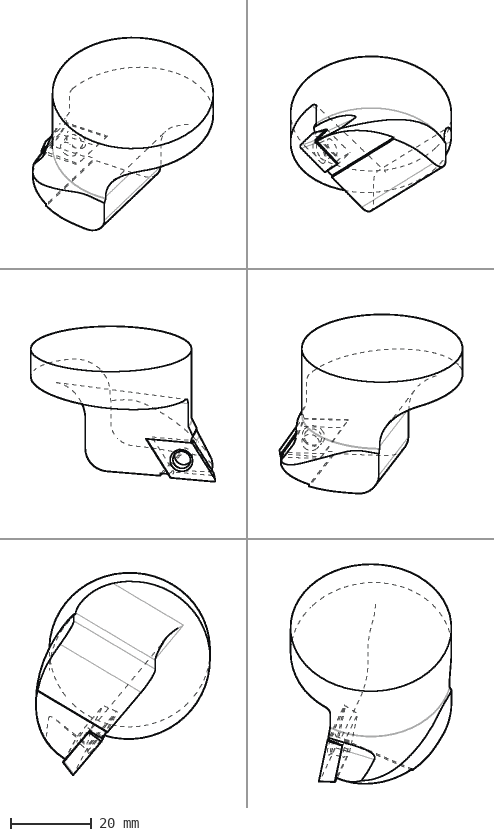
import cadquery as cq
import math

SHANK_RADIUS = 20.0
BODY_DEPTH = 32.3
MARGIN = 14.05

FLANGE_EDGE_DEPTH = 7.1
FLANGE_SLOPE = math.tan(math.radians(5.5))

WALL_X = 5.55
WALL_TOP_RADIUS = 9.85
WALL_BOTTOM_RADIUS = 5.7
BOTTOM_Z = -30.8
BOTTOM_SLOPE = 0.045

HEAD_TOP_Z = -18.08
NECK_BLEND_DEPTH = 0.25
NECK_BLEND_GROWTH = 0.05
HEAD_FLARE = 0.46
HEAD_WALL_POINTS = [
    (9.35, -18.4),
    (5.55, -19.75),
    (0.0, -20.35),
    (-6.65, -20.35),
    (-12.05, -19.2),
    (-16.85, -16.95),
    (-22.0, -12.05),
    (-24.02, -7.75),
    (-24.65, -3.75),
    (-24.65, 0.0),
]

RAKE_ANGLE = 7.6
INSERT_TIP = (-27.2, 0.0, -32.35)
INSERT_EDGE = 11.6
INSERT_POINT_ANGLE = 55.0
INSERT_TILT = 3.0
INSERT_THICKNESS = 3.9
INSERT_CLEARANCE = 7.0
INSERT_NOSE_RADIUS = 0.4
INSERT_HOLE_DIAMETER = 4.4
INSERT_SINK_DIAMETER = 5.6
INSERT_PROUD = 0.35

FACE_FILLET = 1.4

GROOVE_RADIUS = 2.9
GROOVE_FROM_TIP = (3.65, 9.8)
GROOVE_LENGTH = 28.1

STEP_Z = -30.85
STEP_END_X = -13.0

rake_direction = cq.Vector(math.cos(math.radians(RAKE_ANGLE)), math.sin(math.radians(RAKE_ANGLE)), 0)
into_body = cq.Vector(rake_direction.y, -rake_direction.x, 0)
insert_plane = cq.Plane(origin=INSERT_TIP, xDir=rake_direction.toTuple(), normal=into_body.toTuple())


def underside_z(x):
    return -FLANGE_EDGE_DEPTH - (SHANK_RADIUS - x) * FLANGE_SLOPE


def bottom_z(x):
    return BOTTOM_Z + BOTTOM_SLOPE * x


def make_shank_and_head():
    deep = -BODY_DEPTH - MARGIN
    shank = cq.Workplane("XY").circle(SHANK_RADIUS).extrude(HEAD_TOP_Z)
    blend_z = HEAD_TOP_Z - NECK_BLEND_DEPTH
    blend_radius = SHANK_RADIUS + NECK_BLEND_GROWTH
    cone = (
        cq.Workplane("XZ")
        .moveTo(0, HEAD_TOP_Z)
        .lineTo(SHANK_RADIUS, HEAD_TOP_Z)
        .lineTo(blend_radius, blend_z)
        .lineTo(blend_radius + HEAD_FLARE * (blend_z - deep), deep)
        .lineTo(0, deep)
        .close()
        .revolve(360, (0, 0), (0, 1))
    )
    outer_wall = (
        cq.Workplane("XY")
        .workplane(offset=HEAD_TOP_Z)
        .spline(HEAD_WALL_POINTS)
        .lineTo(HEAD_WALL_POINTS[-1][0], SHANK_RADIUS)
        .lineTo(HEAD_WALL_POINTS[0][0], SHANK_RADIUS)
        .close()
        .extrude(deep - HEAD_TOP_Z)
    )
    return shank.union(cone.intersect(outer_wall))


def make_side_envelope():
    """Side outline: flange, rounded step to the lower wall, rounded sloping bottom."""
    reach = SHANK_RADIUS + MARGIN
    inner_corner = (WALL_X, underside_z(WALL_X))
    outer_corner = (WALL_X, bottom_z(WALL_X))
    outline = [
        (-reach, 0),
        (reach, 0),
        (reach, underside_z(reach)),
        inner_corner,
        outer_corner,
        (-reach, bottom_z(-reach)),
    ]
    envelope = cq.Workplane("XZ").polyline(outline).close().extrude(reach, both=True)
    for corner, radius in ((inner_corner, WALL_TOP_RADIUS), (outer_corner, WALL_BOTTOM_RADIUS)):
        point = (corner[0], 0, corner[1])
        envelope = envelope.edges(cq.selectors.NearestToPointSelector(point)).fillet(radius)
    return envelope


def make_face_cut():
    """Space in front of the +Y face, below the flange."""
    reach = SHANK_RADIUS + MARGIN
    below_flange = (
        cq.Workplane("XZ")
        .polyline(
            [
                (-reach, underside_z(-reach)),
                (reach, underside_z(reach)),
                (reach, -BODY_DEPTH - MARGIN),
                (-reach, -BODY_DEPTH - MARGIN),
            ]
        )
        .close()
        .extrude(reach, both=True)
    )
    face_plane = cq.Plane(
        origin=(cq.Vector(*INSERT_TIP) + into_body * INSERT_PROUD).toTuple(),
        xDir=rake_direction.toTuple(),
        normal=into_body.toTuple(),
    )
    behind_face = cq.Workplane(face_plane).rect(4 * reach, 4 * reach).extrude(4 * reach)
    cut = below_flange.cut(behind_face)
    middle = (0, face_plane.toWorldCoords((-INSERT_TIP[0], 0, 0)).y, underside_z(0))
    return cut.edges(cq.selectors.NearestToPointSelector(middle)).fillet(FACE_FILLET)


def make_insert_blank():
    low = math.radians(INSERT_TILT)
    steep = math.radians(INSERT_TILT + INSERT_POINT_ANGLE)
    lower = (INSERT_EDGE * math.cos(low), INSERT_EDGE * math.sin(low))
    upper = (INSERT_EDGE * math.cos(steep), INSERT_EDGE * math.sin(steep))
    far = (lower[0] + upper[0], lower[1] + upper[1])
    blank = (
        cq.Workplane(insert_plane)
        .polyline([(0, 0), lower, far, upper])
        .close()
        .extrude(INSERT_THICKNESS, taper=INSERT_CLEARANCE)
    )
    centre = (far[0] / 2, far[1] / 2)
    tip_edge = cq.selectors.NearestToPointSelector(
        (cq.Vector(*INSERT_TIP) + into_body * (INSERT_THICKNESS / 2)).toTuple()
    )
    return blank.edges(tip_edge).fillet(INSERT_NOSE_RADIUS), centre


def make_insert(blank, centre):
    hole = (
        cq.Workplane(insert_plane).center(*centre).circle(INSERT_HOLE_DIAMETER / 2).extrude(INSERT_THICKNESS)
    )
    sink_depth = (INSERT_SINK_DIAMETER - INSERT_HOLE_DIAMETER) / 2
    sink = (
        cq.Workplane(insert_plane)
        .center(*centre)
        .circle(INSERT_SINK_DIAMETER / 2)
        .extrude(sink_depth, taper=45)
    )
    return blank.cut(hole).cut(sink)


def make_clearance_groove():
    """Flat wall parallel to the steep insert edge, ending in a round groove."""
    steep = math.radians(INSERT_TILT + INSERT_POINT_ANGLE)
    x, y = GROOVE_FROM_TIP
    tangent = (x + GROOVE_RADIUS * math.sin(steep), y - GROOVE_RADIUS * math.cos(steep))
    foot = (tangent[0] - 2 * MARGIN * math.cos(steep), tangent[1] - 2 * MARGIN * math.sin(steep))
    arc_middle = (x + GROOVE_RADIUS * math.cos(steep), y + GROOVE_RADIUS * math.sin(steep))
    arc_end = (x - GROOVE_RADIUS * math.sin(steep), y + GROOVE_RADIUS * math.cos(steep))
    profile = (
        cq.Workplane(insert_plane)
        .moveTo(*tangent)
        .threePointArc(arc_middle, arc_end)
        .lineTo(x - MARGIN, y)
        .lineTo(foot[0] - MARGIN, foot[1])
        .lineTo(*foot)
        .close()
    )
    return profile.extrude(GROOVE_LENGTH)


def make_bottom_step():
    reach = SHANK_RADIUS + MARGIN
    length = STEP_END_X + reach
    return (
        cq.Workplane("XY")
        .box(length, 2 * reach, MARGIN, centered=(False, True, False))
        .translate((-reach, 0, STEP_Z - MARGIN))
    )


insert_blank, insert_centre = make_insert_blank()
insert = make_insert(insert_blank, insert_centre)

holder = make_shank_and_head().intersect(make_side_envelope())
holder = holder.cut(make_face_cut())
holder = holder.cut(make_clearance_groove())
holder = holder.cut(make_bottom_step())
holder = holder.cut(insert_blank)

result = cq.Compound.makeCompound([holder.val(), insert.val()])